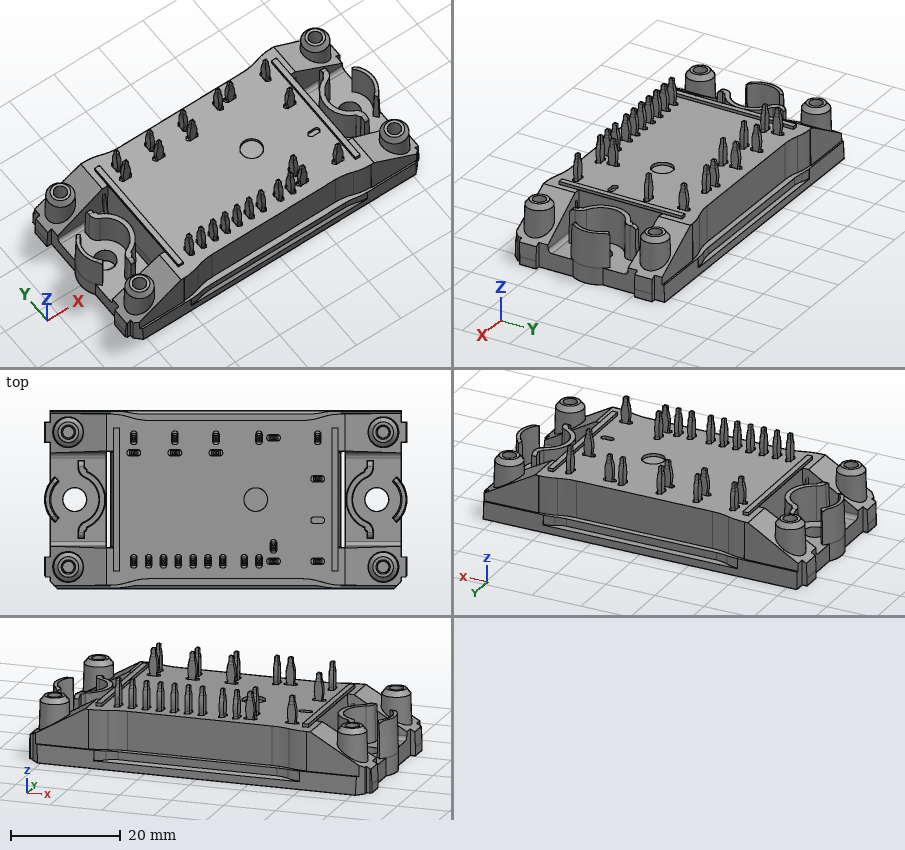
import cadquery as cq
import math

body_length = 64.0
overall_length = 66.0
base_width = 32.5
base_edge_width = 32.15
base_height = 3.5
upper_root_width = 31.45
upper_top_width = 31.15
body_height = 11.0
overall_height = 16.23
corner_chamfer = 1.4

slope_start_x = 21.7
slope_angle = 30.0

waist_outer_x = 21.0
waist_inner_x = 13.9
waist_half_width = 14.4
notch_outer_x = 19.8
notch_inner_x = 15.3
notch_half_width = 15.6
notch_floor_outer_z = 1.43
notch_floor_inner_z = 2.0

pocket_top_half_width = 8.85
pocket_root_half_width = 8.4
pocket_fillet = 0.85
pocket_wall_top_x = 20.4
pocket_wall_root_x = 20.95
slot_outer_x = 21.75
slot_half_width = 8.75
slot_corner_radius = 0.35

hole_x = 27.5
hole_diameter = 4.3
outer_wall_root_radius = overall_length / 2 - hole_x
outer_wall_top_radius = 5.3
outer_wall_inner_root_radius = 4.35
outer_wall_inner_top_radius = 4.6
inner_wall_radius = 5.0
inner_wall_root_thickness = 1.2
inner_wall_taper = 1.0
wall_top_z = 10.6
outer_wall_half_angle = 49.0
outer_wall_corner_radius = 1.1
curl_radius = 1.4
curl_end_x = 26.3
curl_end_y = 7.1
curl_corner_radius = 1.1

boss_x = 28.66
boss_y = 12.27
boss_root_diameter = 5.8
boss_root_z = 4.0
boss_shoulder_diameter = 5.35
boss_top_diameter = 3.75
boss_top_z = 12.0
boss_hole_top_diameter = 2.6
boss_hole_root_diameter = 2.1
boss_hole_depth = 6.0
tab_width = 3.7
tab_lean_z = 1.65
tab_top_x = 32.8

rail_x = 19.9
rail_width = 1.1
rail_length = 26.0
rail_height = 0.6
dimple_x = 5.46
recess_depth = 0.6
slot_length = 2.5
slot_width = 1.2

pin_thickness = 0.85
pin_root_width = 1.25
pin_belly_width = 1.6
pin_shoulder_width = 1.1
pin_neck_width = 0.85
pin_neck_thickness = 0.65
pin_root_z = 11.3
pin_belly_z = 12.9
pin_shoulder_z = 14.6
pin_neck_z = 15.1
row_y = 11.24
second_row_y = 8.52
edge_pin_y = 3.76
column_x = 16.74
pitch = 2.7
top_columns = (-column_x, -9.26, -1.78)
front_row = [-column_x + i * pitch for i in range(7)] + [3.36, 3.36 + pitch]
side_pin_x = 8.7
pins_along_y = [(x, row_y) for x in top_columns + (3.36 + pitch, column_x)]
pins_along_y += [(x, -row_y) for x in front_row]
pins_along_y += [(side_pin_x, -second_row_y)]
pins_along_x = [(x, second_row_y) for x in top_columns]
pins_along_x += [(side_pin_x, row_y), (side_pin_x, -row_y)]
pins_along_x += [(column_x, edge_pin_y), (column_x, -row_y)]
empty_slot = (column_x, -edge_pin_y)

half_length = body_length / 2
clearance = 1.0


def prism_x(points, length):
    """Extrude a closed (y, z) polygon along X, centred on x = 0."""
    return cq.Workplane("YZ").polyline(points).close().extrude(length / 2, both=True)


def both_ends(solid):
    """The solid together with its mirror image at the other end of the part."""
    return solid.union(solid.mirror("YZ"))


def both_sides(solid):
    """The solid together with its mirror image on the other long side."""
    return solid.union(solid.mirror("XZ"))


def drafted_bar(root_width, top_width, z_low, z_high):
    root = root_width / 2
    top = top_width / 2
    return prism_x([(-root, z_low), (root, z_low), (top, z_high), (-top, z_high)], body_length)


def shoulder_cutter():
    """Everything above the sloped plane at the -X end."""
    run = overall_length / 2 + clearance - slope_start_x
    drop = run * math.tan(math.radians(slope_angle))
    outer_x = -slope_start_x - run
    profile = cq.Workplane("XZ").polyline([
        (-slope_start_x, body_height),
        (outer_x, body_height - drop),
        (outer_x, body_height),
    ]).close()
    return profile.extrude(base_width / 2, both=True)


def s_curve_cutter(outer_x, inner_x, outer_y, inner_y, z_low, z_high):
    """Material outside an S-curved wall on the +Y side; each S is two tangent arcs."""
    half_run = (outer_x - inner_x) / 2
    half_rise = (outer_y - inner_y) / 2
    mid_x = (outer_x + inner_x) / 2
    mid_y = (outer_y + inner_y) / 2
    bend_radius = (half_run ** 2 + half_rise ** 2) / (2 * half_rise)
    limit_y = base_width / 2 + clearance
    outline = (
        cq.Workplane("XY").workplane(offset=z_low)
        .moveTo(-outer_x, limit_y)
        .lineTo(-outer_x, outer_y)
        .radiusArc((-mid_x, mid_y), bend_radius)
        .radiusArc((-inner_x, inner_y), -bend_radius)
        .lineTo(inner_x, inner_y)
        .radiusArc((mid_x, mid_y), -bend_radius)
        .radiusArc((outer_x, outer_y), bend_radius)
        .lineTo(outer_x, limit_y)
        .close()
    )
    return outline.extrude(z_high - z_low)


def base_notch():
    """Shallow notch under the +Y waist, with a floor falling outwards."""
    limit_y = base_width / 2
    section = prism_x([
        (waist_half_width, base_height),
        (waist_half_width, notch_floor_inner_z),
        (notch_half_width, notch_floor_inner_z),
        (limit_y, notch_floor_outer_z),
        (limit_y, base_height),
    ], body_length)
    wall = s_curve_cutter(notch_outer_x, notch_inner_x, base_edge_width / 2,
                          notch_half_width, 0, base_height)
    return wall.intersect(section)


def end_pocket():
    """Open pocket at the -X end: leaning side walls, filleted floor, leaning inner wall."""
    root = pocket_root_half_width
    top = pocket_top_half_width
    channel = prism_x([
        (-root, base_height), (root, base_height), (top, body_height), (-top, body_height),
    ], overall_length + clearance)
    channel = channel.edges("|X and <Z").fillet(pocket_fillet)
    outer_x = -half_length - clearance
    extent = cq.Workplane("XZ").polyline([
        (outer_x, base_height), (-pocket_wall_root_x, base_height),
        (-pocket_wall_top_x, body_height), (outer_x, body_height),
    ]).close().extrude(base_width / 2, both=True)
    return channel.intersect(extent)


def end_slot():
    """Slot through the base between the -X mounting plate and the body."""
    width = slot_outer_x - pocket_wall_root_x
    centre_x = -(slot_outer_x + pocket_wall_root_x) / 2
    slot = cq.Workplane("XY").center(centre_x, 0).rect(width, 2 * slot_half_width).extrude(body_height)
    return slot.edges("|Z and >X").fillet(slot_corner_radius)


def corner_cutter():
    """Triangular prism that trims the corner at -X, -Y."""
    leg = corner_chamfer + 2 * clearance
    x = -half_length - clearance
    y = -base_width / 2 - clearance
    return cq.Workplane("XY").polyline([(x, y), (x + leg, y), (x, y + leg)]).close().extrude(body_height)


def end_tabs():
    """Pair of small tabs on the -X end face, in line with the bosses."""
    tip_x = overall_length / 2
    profile = cq.Workplane("XZ").polyline([
        (-half_length, 0), (-tip_x, 0), (-tip_x, tab_lean_z),
        (-tab_top_x, body_height / 2), (-half_length, body_height / 2),
    ]).close()
    tab = profile.extrude(tab_width / 2, both=True).translate((0, boss_y, 0))
    return both_sides(tab)


def housing():
    base = drafted_bar(base_width, base_edge_width, 0, base_height)
    upper = drafted_bar(upper_root_width, upper_top_width, base_height, body_height)
    waist = s_curve_cutter(waist_outer_x, waist_inner_x, upper_top_width / 2,
                           waist_half_width, base_height, body_height)
    upper = upper.cut(both_sides(waist))
    body = base.union(upper).cut(both_sides(base_notch()))
    body = body.union(both_ends(end_tabs()))
    body = body.cut(both_ends(shoulder_cutter())).cut(both_ends(corner_cutter()))
    return body.cut(both_ends(end_pocket())).cut(both_ends(end_slot()))


def outer_wall():
    """Drafted arc-shaped wall outside the -X mounting hole."""
    section = cq.Workplane("XZ").polyline([
        (-outer_wall_inner_root_radius, 0), (-outer_wall_root_radius, 0),
        (-outer_wall_root_radius, base_height), (-outer_wall_top_radius, wall_top_z),
        (-outer_wall_inner_top_radius, wall_top_z), (-outer_wall_inner_root_radius, base_height),
    ]).close()
    wall = section.revolve(2 * outer_wall_half_angle, (0, 0), (0, 1))
    wall = wall.rotate((0, 0, 0), (0, 0, 1), -outer_wall_half_angle).translate((-hole_x, 0, 0))
    half_span = outer_wall_root_radius * math.sin(math.radians(outer_wall_half_angle))
    return round_top_ends(wall, outer_wall_corner_radius, half_span)


def round_top_ends(wall, radius, half_span):
    """Trim the upper end corners of a wall to a round, as seen along X."""
    mask = prism_x([
        (-half_span, 0), (half_span, 0), (half_span, wall_top_z), (-half_span, wall_top_z),
    ], overall_length)
    return wall.intersect(mask.edges("|X and >Z").fillet(radius))


def inner_wall():
    """Wall inside the -X mounting hole: an arc that bends back into two straight ends."""
    end_x = hole_x - curl_end_x
    curl_x = end_x + curl_radius
    centre_distance = inner_wall_radius + curl_radius
    curl_y = math.sqrt(centre_distance ** 2 - curl_x ** 2)
    half = inner_wall_root_thickness / 2

    def bend(offset):
        """Point where the main arc meets the +Y reverse bend, offset outwards from the hole."""
        scale = (inner_wall_radius + offset) / centre_distance
        return curl_x * scale, curl_y * scale

    outer_bend_x, outer_bend_y = bend(half)
    inner_bend_x, inner_bend_y = bend(-half)
    outline = (
        cq.Workplane("XY").workplane(offset=base_height).center(-hole_x, 0)
        .moveTo(end_x + half, -curl_end_y)
        .lineTo(end_x + half, -curl_y)
        .radiusArc((outer_bend_x, -outer_bend_y), -(curl_radius - half))
        .threePointArc((inner_wall_radius + half, 0), (outer_bend_x, outer_bend_y))
        .radiusArc((end_x + half, curl_y), -(curl_radius - half))
        .lineTo(end_x + half, curl_end_y)
        .lineTo(end_x - half, curl_end_y)
        .lineTo(end_x - half, curl_y)
        .radiusArc((inner_bend_x, inner_bend_y), -(curl_radius + half))
        .threePointArc((inner_wall_radius - half, 0), (inner_bend_x, -inner_bend_y))
        .radiusArc((end_x - half, -curl_y), -(curl_radius + half))
        .lineTo(end_x - half, -curl_end_y)
        .close()
    )
    wall = outline.extrude(wall_top_z - base_height, taper=inner_wall_taper)
    return round_top_ends(wall, curl_corner_radius, curl_end_y)


def boss():
    """Tapered boss with a conical shoulder, standing at the origin."""
    return cq.Workplane("XZ").polyline([
        (0, boss_root_z), (boss_root_diameter / 2, boss_root_z),
        (boss_shoulder_diameter / 2, body_height),
        (boss_top_diameter / 2, boss_top_z), (0, boss_top_z),
    ]).close().revolve(360, (0, 0), (0, 1))


def boss_hole():
    floor_z = boss_top_z - boss_hole_depth
    return cq.Workplane("XZ").polyline([
        (0, floor_z), (boss_hole_root_diameter / 2, floor_z),
        (boss_hole_top_diameter / 2, boss_top_z), (0, boss_top_z),
    ]).close().revolve(360, (0, 0), (0, 1))


def pin():
    """Press-fit pin at the origin with its wide faces along X."""
    foot_z = body_height - recess_depth

    def add_tip(outline, neck):
        """Finish a half outline from the neck to a tip rounded to half the neck size."""
        return (
            outline.lineTo(neck / 2, pin_neck_z)
            .lineTo(neck / 2, overall_height - neck / 2)
            .radiusArc((0, overall_height), -neck / 2)
        )

    def full(half_outline):
        """Extrude a half outline and complete it by a half turn about the pin axis."""
        half = half_outline.close().extrude(pin_belly_width, both=True)
        return half.union(half.rotate((0, 0, 0), (0, 0, 1), 180))

    wide = (
        cq.Workplane("XZ").moveTo(0, foot_z)
        .lineTo(pin_root_width / 2, foot_z)
        .lineTo(pin_root_width / 2, pin_root_z)
        .threePointArc((pin_belly_width / 2, pin_belly_z), (pin_shoulder_width / 2, pin_shoulder_z))
    )
    thin = (
        cq.Workplane("YZ").moveTo(0, foot_z)
        .lineTo(pin_thickness / 2, foot_z)
        .lineTo(pin_thickness / 2, pin_shoulder_z)
    )
    wide_body = full(add_tip(wide, pin_neck_width))
    thin_body = full(add_tip(thin, pin_neck_thickness))
    return wide_body.intersect(thin_body)


def top_slots(centres, angle):
    """Cutter for the stadium-shaped recesses around the pins."""
    return (
        cq.Workplane("XY").workplane(offset=body_height - recess_depth)
        .pushPoints(centres).slot2D(slot_length, slot_width, angle).extrude(recess_depth)
    )


def rails():
    """Two long ribs across the top face, next to the end pockets."""
    return (
        cq.Workplane("XY").workplane(offset=body_height)
        .pushPoints([(-rail_x, 0), (rail_x, 0)])
        .rect(rail_width, rail_length).extrude(rail_height)
    )


body = housing()

body = body.union(both_ends(outer_wall())).union(both_ends(inner_wall()))
boss_centres = [(sx * boss_x, sy * boss_y) for sx in (-1, 1) for sy in (-1, 1)]
for x, y in boss_centres:
    body = body.union(boss().translate((x, y, 0)))
    body = body.cut(boss_hole().translate((x, y, 0)))

mounting_holes = (
    cq.Workplane("XY").pushPoints([(-hole_x, 0), (hole_x, 0)])
    .circle(hole_diameter / 2).extrude(base_height)
)
body = body.cut(mounting_holes)

dimple = (
    cq.Workplane("XY").workplane(offset=body_height - recess_depth)
    .center(dimple_x, 0).circle(hole_diameter / 2).extrude(recess_depth)
)
body = body.cut(dimple).union(rails())
body = body.cut(top_slots(pins_along_x + [empty_slot], 0)).cut(top_slots(pins_along_y, 90))

for x, y in pins_along_x:
    body = body.union(pin().translate((x, y, 0)))
for x, y in pins_along_y:
    body = body.union(pin().rotate((0, 0, 0), (0, 0, 1), 90).translate((x, y, 0)))

result = body